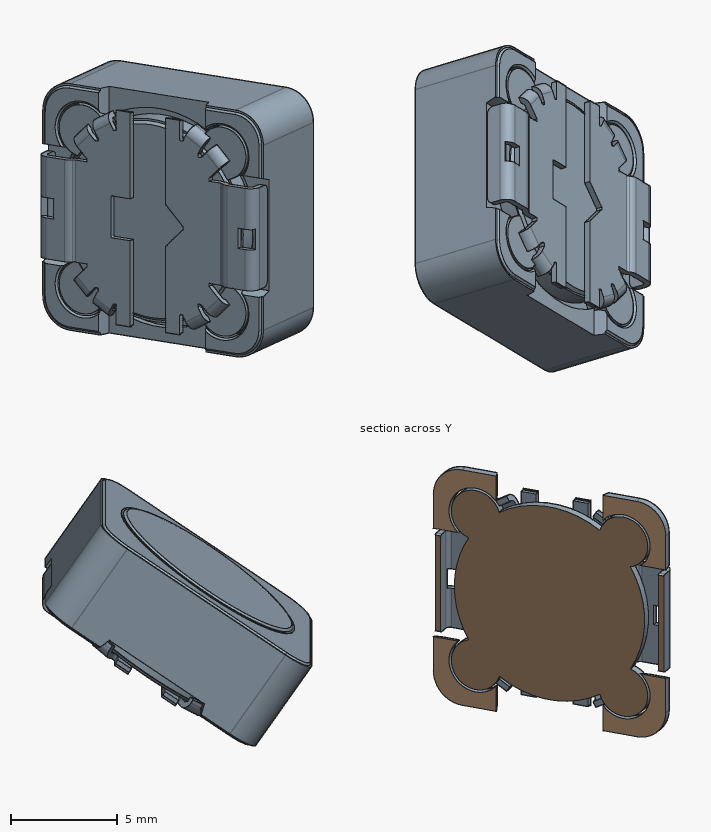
import cadquery as cq
import math


SHIELD_SIZE = 12.0
SHIELD_CORNER_RADIUS = 1.5
SHIELD_DEPTH = 4.81
RIM_STEP = 0.1
RECESS_RADIUS = 5.32
RECESS_DEPTH = 1.01
NOTCH_DEPTH = 0.62
NOTCH_MOUTH_HALF = 2.9
NOTCH_FLOOR_HALF = 2.7

EAR_CENTER = 3.8
EAR_RADIUS = 1.27
EAR_FRONT = 0.05
POCKET_RADIUS = EAR_RADIUS + RIM_STEP

DRUM_RADIUS = 4.92
DRUM_FRONT = -0.08
DRUM_BACK = 4.95
DRUM_LEDGE = 0.1
DRUM_CONE_WIDTH = 0.13
DRUM_FRONT_CONE_HEIGHT = 0.15
DRUM_BACK_CONE_HEIGHT = 0.1

SHEET = 0.3
BEND_INNER = 0.19
BEND_OUTER = BEND_INNER + SHEET
PLATE_FRONT = DRUM_FRONT - SHEET
PLATE_INNER_EDGE = 0.96
STRIP_OUTER_EDGE = 1.73
STRIP_END = 5.22
STRIP_LIP_LENGTH = 0.05
STRIP_LIP_THICKNESS = 0.1
SLIT_1_BOTTOM = 4.22
SLIT_2_BOTTOM = 3.58
SLIT_2_INNER_EDGE = 2.71
SLIT_3_INNER_EDGE = 3.32
SLIT_CORNER_RADIUS = 0.06

TAB_FOLD = 4.95
TAB_HALF_WIDTH = 0.49
TAB_TIP = 0.29
TAB_ANGLES = (120, 135)

FOOT_HALF_WIDTH = 2.48
FOOT_OUTER = 5.9
FOOT_FRONT = -0.59
FOOT_TIP_RADIUS = 0.29
JOG_START = 3.94
WINDOW_HALF_HEIGHT = 0.49
WINDOW_INNER_EDGE = 5.02
WINDOW_RAY_ANGLE = 30

SQUARE_CUTOUT_EDGE = 2.02
SQUARE_CUTOUT_HALF = 1.02
SQUARE_CUTOUT_RADIUS = 0.07
ARROW_TIP = 1.92
ARROW_TIP_HALF = 0.06
ARROW_HALF = ARROW_TIP_HALF + ARROW_TIP - PLATE_INNER_EDGE


def prism_workplane(y_end):
    """Workplane facing -Y at y_end, with local axes X and Z."""
    return cq.Workplane("XZ", origin=(0, y_end, 0))


def rounded_square(size, corner_radius, y_start, y_end):
    block = prism_workplane(y_end).rect(size, size).extrude(y_end - y_start)
    return block.edges("|Y").fillet(corner_radius)


def corner_points():
    return [(sx * EAR_CENTER, sz * EAR_CENTER) for sx in (-1, 1) for sz in (-1, 1)]


def corner_cylinders(radius, y_start, y_end):
    return prism_workplane(y_end).pushPoints(corner_points()).circle(radius).extrude(y_end - y_start)



def pocket_chamfers():
    """Cones that open the mouths of the four corner pockets."""
    cones = prism_workplane(0).pushPoints(corner_points()).circle(POCKET_RADIUS + RIM_STEP)
    return cones.extrude(-RIM_STEP, taper=45)


def notch():
    """Tapered slot across the front face, running along Z."""
    outline = [
        (-NOTCH_MOUTH_HALF, 0),
        (-NOTCH_FLOOR_HALF, NOTCH_DEPTH),
        (NOTCH_FLOOR_HALF, NOTCH_DEPTH),
        (NOTCH_MOUTH_HALF, 0),
    ]
    return cq.Workplane("XY").polyline(outline).close().extrude(SHIELD_SIZE / 2, both=True)


def make_shield():
    cap = rounded_square(SHIELD_SIZE - 2 * RIM_STEP, SHIELD_CORNER_RADIUS - RIM_STEP, 0, SHIELD_DEPTH)
    cap = cap.faces("<Y or >Y").chamfer(RIM_STEP)
    wall = rounded_square(SHIELD_SIZE, SHIELD_CORNER_RADIUS, RIM_STEP, SHIELD_DEPTH - RIM_STEP)
    bore = prism_workplane(SHIELD_DEPTH).circle(DRUM_RADIUS).extrude(SHIELD_DEPTH)
    recess = prism_workplane(RECESS_DEPTH).circle(RECESS_RADIUS).extrude(RECESS_DEPTH)
    ring = wall.union(cap).cut(bore).cut(recess)
    ring = ring.cut(corner_cylinders(POCKET_RADIUS, 0, RECESS_DEPTH)).cut(pocket_chamfers())
    return ring.cut(notch()).cut(notch().rotate((0, 0, 0), (0, 1, 0), 90))



def make_drum():
    ledge_radius = DRUM_RADIUS - DRUM_LEDGE
    face_radius = ledge_radius - DRUM_CONE_WIDTH
    front_ledge = DRUM_FRONT + DRUM_FRONT_CONE_HEIGHT
    back_ledge = DRUM_BACK - DRUM_BACK_CONE_HEIGHT
    half_profile = [
        (0, DRUM_FRONT),
        (face_radius, DRUM_FRONT),
        (ledge_radius, front_ledge),
        (DRUM_RADIUS, front_ledge),
        (DRUM_RADIUS, back_ledge),
        (ledge_radius, back_ledge),
        (face_radius, DRUM_BACK),
        (0, DRUM_BACK),
    ]
    drum = cq.Workplane("XY").polyline(half_profile).close().revolve(360, (0, 0), (0, 1))
    return drum.union(corner_cylinders(EAR_RADIUS, EAR_FRONT, RECESS_DEPTH))


def tab_fold_point(angle, side):
    """End of a tab's fold line, in X and Z; side is +1 toward the strip, -1 toward the foot."""
    a = math.radians(angle)
    along = side * TAB_HALF_WIDTH
    return (
        TAB_FOLD * math.cos(a) + along * math.sin(a),
        TAB_FOLD * math.sin(a) - along * math.cos(a),
    )


def inward_to_x(point, angle, x):
    """Follow a tab's side wall from point toward the axis until it reaches x."""
    return (x, point[1] + (x - point[0]) * math.tan(math.radians(angle)))


def inward_to_z(point, angle, z):
    """Follow a tab's side wall from point toward the axis until it reaches z."""
    return (point[0] + (z - point[1]) / math.tan(math.radians(angle)), z)


def make_plate():
    """Flat part of the left terminal, slit between the strip, the tabs and the foot."""
    steep, shallow = TAB_ANGLES
    steep_inner = tab_fold_point(steep, 1)
    steep_outer = tab_fold_point(steep, -1)
    shallow_inner = tab_fold_point(shallow, 1)
    shallow_outer = tab_fold_point(shallow, -1)
    slit_1_corners = [
        (-STRIP_OUTER_EDGE, SLIT_1_BOTTOM),
        inward_to_z(steep_inner, steep, SLIT_1_BOTTOM),
    ]
    slit_2_corners = [
        (-SLIT_2_INNER_EDGE, SLIT_2_BOTTOM),
        inward_to_z(shallow_inner, shallow, SLIT_2_BOTTOM),
    ]
    upper_outline = [
        (-PLATE_INNER_EDGE, 0),
        (-PLATE_INNER_EDGE, STRIP_END),
        (-STRIP_OUTER_EDGE, STRIP_END),
        *slit_1_corners,
        steep_inner,
        steep_outer,
        inward_to_x(steep_outer, steep, -SLIT_2_INNER_EDGE),
        *slit_2_corners,
        shallow_inner,
        shallow_outer,
        inward_to_x(shallow_outer, shallow, -SLIT_3_INNER_EDGE),
        (-SLIT_3_INNER_EDGE, FOOT_HALF_WIDTH),
        (-JOG_START, FOOT_HALF_WIDTH),
        (-JOG_START, 0),
    ]
    upper_half = prism_workplane(DRUM_FRONT).polyline(upper_outline).close().extrude(SHEET)
    for x, z in slit_1_corners + slit_2_corners:
        corner_edge = cq.NearestToPointSelector((x, DRUM_FRONT - SHEET / 2, z))
        upper_half = upper_half.edges(corner_edge).fillet(SLIT_CORNER_RADIUS)
    upper_half = upper_half.cut(strip_end_step())
    return upper_half.union(upper_half.mirror("XY"))


def strip_end_step():
    """Material removed behind the lip at the end of the strip."""
    return (
        prism_workplane(DRUM_FRONT)
        .moveTo(-PLATE_INNER_EDGE, STRIP_END)
        .lineTo(-STRIP_OUTER_EDGE, STRIP_END)
        .lineTo(-STRIP_OUTER_EDGE, STRIP_END - STRIP_LIP_LENGTH)
        .lineTo(-PLATE_INNER_EDGE, STRIP_END - STRIP_LIP_LENGTH)
        .close()
        .extrude(SHEET - STRIP_LIP_THICKNESS)
    )


def arc_point(center, radius, degrees):
    a = math.radians(degrees)
    return (center[0] + radius * math.cos(a), center[1] + radius * math.sin(a))


def bend(profile, center, radius, start, end):
    """Add an arc about center that runs from the start angle to the end angle, in degrees."""
    return profile.threePointArc(
        arc_point(center, radius, (start + end) / 2),
        arc_point(center, radius, end),
    )


def make_tab(angle):
    """Quarter bend with a short straight end, folded back from the plate at the given angle."""
    center = (TAB_FOLD, PLATE_FRONT + BEND_OUTER)
    profile = cq.Workplane("XY").moveTo(TAB_FOLD, PLATE_FRONT)
    profile = bend(profile, center, BEND_OUTER, -90, 0)
    profile = profile.lineTo(TAB_FOLD + BEND_OUTER, TAB_TIP)
    profile = profile.lineTo(TAB_FOLD + BEND_INNER, TAB_TIP)
    profile = profile.lineTo(TAB_FOLD + BEND_INNER, center[1])
    profile = bend(profile, center, BEND_INNER, 0, -90)
    tab = profile.close().extrude(TAB_HALF_WIDTH, both=True)
    return tab.rotate((0, 0, 0), (0, 1, 0), -angle)


def make_foot():
    """Left foot: a jog forward from the plate, a flat pad, and a leg back into the shield notch."""
    drop = PLATE_FRONT - FOOT_FRONT
    jog = math.degrees(math.acos(1 - drop / (BEND_INNER + BEND_OUTER)))
    jog_length = (BEND_INNER + BEND_OUTER) * math.sin(math.radians(jog))
    plate_bend = (-JOG_START, PLATE_FRONT - BEND_INNER)
    pad_bend = (-JOG_START - jog_length, FOOT_FRONT + BEND_OUTER)
    leg_bend = (-FOOT_OUTER + BEND_OUTER, FOOT_FRONT + BEND_OUTER)

    profile = cq.Workplane("XY").moveTo(-JOG_START, PLATE_FRONT)
    profile = bend(profile, plate_bend, BEND_INNER, 90, 90 + jog)
    profile = bend(profile, pad_bend, BEND_OUTER, -90 + jog, -90)
    profile = profile.lineTo(leg_bend[0], FOOT_FRONT)
    profile = bend(profile, leg_bend, BEND_OUTER, 270, 180)
    profile = profile.lineTo(-FOOT_OUTER, NOTCH_DEPTH)

    profile = profile.lineTo(-FOOT_OUTER + SHEET, NOTCH_DEPTH)
    profile = profile.lineTo(-FOOT_OUTER + SHEET, leg_bend[1])
    profile = bend(profile, leg_bend, BEND_INNER, 180, 270)
    profile = profile.lineTo(pad_bend[0], FOOT_FRONT + SHEET)
    profile = bend(profile, pad_bend, BEND_INNER, -90, -90 + jog)
    profile = bend(profile, plate_bend, BEND_OUTER, 90 + jog, 90)
    profile = profile.close()

    foot = profile.extrude(FOOT_HALF_WIDTH, both=True)
    foot = foot.faces(">Y").edges("|X").fillet(FOOT_TIP_RADIUS)
    return foot.cut(foot_window(leg_bend))


def foot_window(leg_bend):
    """Window through the leg bend; its outer wall is radial to the bend."""
    outline = [
        leg_bend,
        arc_point(leg_bend, 2 * BEND_OUTER, 180 + WINDOW_RAY_ANGLE),
        (leg_bend[0], FOOT_FRONT - BEND_OUTER),
        (-WINDOW_INNER_EDGE, FOOT_FRONT - BEND_OUTER),
        (-WINDOW_INNER_EDGE, leg_bend[1]),
    ]
    return cq.Workplane("XY").polyline(outline).close().extrude(WINDOW_HALF_HEIGHT, both=True)


def make_terminal():
    terminal = make_plate().union(make_foot())
    for angle in TAB_ANGLES:
        for signed_angle in (angle, -angle):
            terminal = terminal.union(make_tab(signed_angle))
    return terminal


def square_cutout():
    """Polarity cutout of the left terminal."""
    cutout = prism_workplane(DRUM_FRONT).rect(2 * SQUARE_CUTOUT_EDGE, 2 * SQUARE_CUTOUT_HALF).extrude(SHEET)
    return cutout.edges("|Y").fillet(SQUARE_CUTOUT_RADIUS)


def arrow_cutout():
    """Polarity cutout of the right terminal: a blunt 45-degree point."""
    outline = [
        (PLATE_INNER_EDGE, -ARROW_HALF),
        (ARROW_TIP, -ARROW_TIP_HALF),
        (ARROW_TIP, ARROW_TIP_HALF),
        (PLATE_INNER_EDGE, ARROW_HALF),
    ]
    return prism_workplane(DRUM_FRONT).polyline(outline).close().extrude(SHEET)


def make_core():
    terminal = make_terminal()
    left_terminal = terminal.cut(square_cutout())
    right_terminal = terminal.mirror("YZ").cut(arrow_cutout())
    return make_drum().union(left_terminal).union(right_terminal)


shield = make_shield()
core = make_core()

result = cq.Compound.makeCompound([*shield.solids().vals(), *core.solids().vals()])